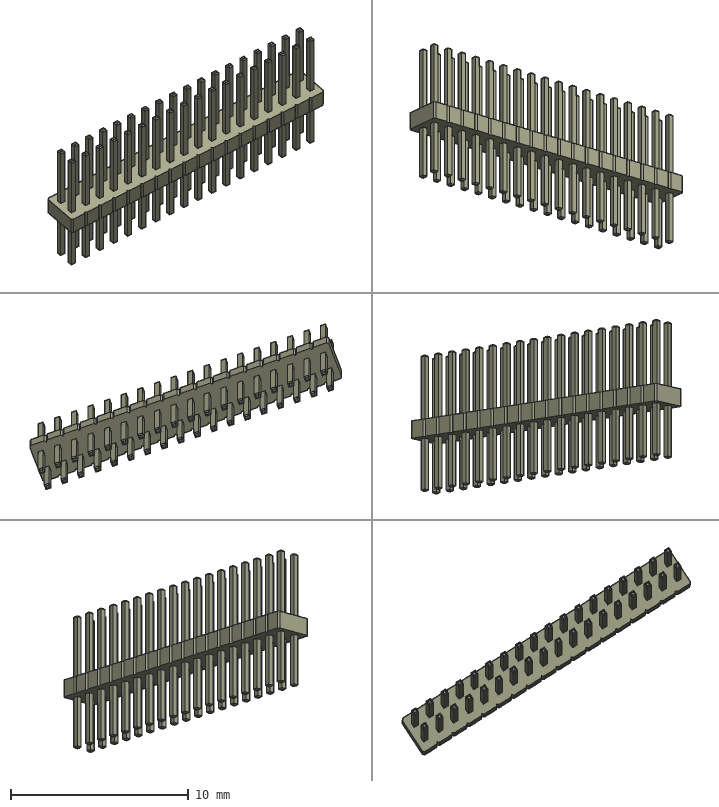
import cadquery as cq

pitch = 1.0
row_count = 2
pins_per_row = 18

body_width = 2.3
body_height = 1.0
body_length = pins_per_row * pitch
corner_chamfer = 0.1

pin_size = 0.3
pin_above_body = 3.8
pin_below_body = 3.0
pin_tip_chamfer = pin_size / 4
pin_length = pin_below_body + body_height + pin_above_body


def centered_positions(count):
    """Coordinates of `count` items spaced by the pitch and centred on zero."""
    return [(index - (count - 1) / 2) * pitch for index in range(count)]


def make_body():
    """Plastic strip with chamfered vertical corners and a V-notch between segments."""
    half_width = body_width / 2
    left_edge = []
    for segment_y in centered_positions(pins_per_row):
        segment_start = segment_y - pitch / 2
        segment_end = segment_y + pitch / 2
        left_edge.append((-half_width + corner_chamfer, segment_start))
        left_edge.append((-half_width, segment_start + corner_chamfer))
        left_edge.append((-half_width, segment_end - corner_chamfer))
    left_edge.append((-half_width + corner_chamfer, body_length / 2))
    right_edge = [(-x, y) for x, y in reversed(left_edge)]
    return cq.Workplane("XY").polyline(left_edge + right_edge).close().extrude(body_height)


def make_pins():
    """Grid of square pins with chamfered tips, running through the body."""
    pin = (
        cq.Workplane("XY")
        .workplane(offset=-pin_below_body)
        .rect(pin_size, pin_size)
        .extrude(pin_length)
        .faces("<Z or >Z")
        .chamfer(pin_tip_chamfer)
        .val()
    )
    return [
        pin.translate(cq.Vector(x, y, 0))
        for x in centered_positions(row_count)
        for y in centered_positions(pins_per_row)
    ]


result = cq.Workplane("XY").newObject([make_body().val().fuse(*make_pins())])